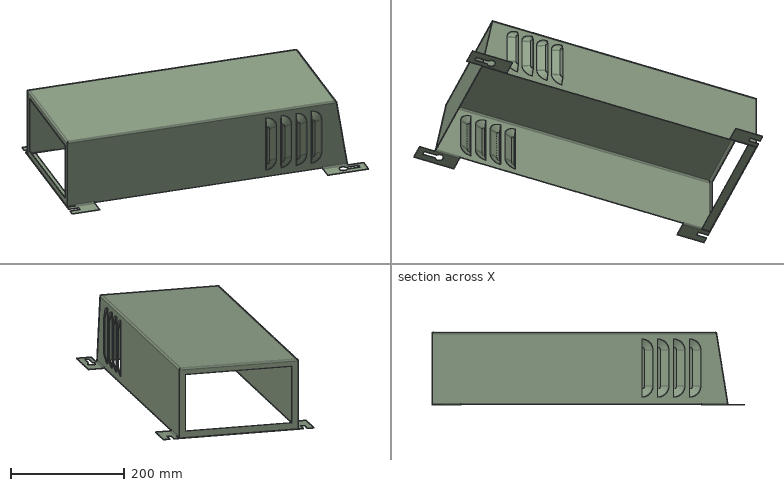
import cadquery as cq
import math

sheet = 1.0
overall_width = 277.0
overall_length = 552.5
overall_height = 128.5

top_inner_bend = 2.0
top_outer_bend = top_inner_bend + sheet
body_width = 219.5
base_length = 523.0
top_length = 503.0
frame_width = 12.0
lip_depth = 16.0

inner_bend = 1.5
outer_bend = inner_bend + sheet
front_tab_length = 51.5
rear_tab_length = 76.0
rear_tab_start_y = overall_length - rear_tab_length
slot_center_x = 122.5
slot_width = 7.0
front_slot_depth = 19.0
keyhole_diameter = 14.5
keyhole_center_y = 510.5
keyhole_slot_end_y = 540.5

louver_count = 4
louver_pitch = 28.0
first_louver_y = 370.5
louver_length = 103.0
louver_center_z = 65.0
louver_height = 5.25
louver_reach = 20.0
crest_reach = 5.25
cavity_reach = 19.0
cavity_crest_reach = 1.95


def housing_block(inset, bottom, edge_radius):
    """Solid within the housing walls, moved inward by the inset, with rounded top edges."""
    run = base_length - top_length
    rise = overall_height - sheet
    rear_inset = inset * math.hypot(run, rise) / rise
    top = overall_height - inset
    half_width = body_width / 2 - inset

    def rear_y(z):
        return base_length - rear_inset - (z - sheet) * run / rise

    side_outline = [(inset, bottom), (rear_y(bottom), bottom), (rear_y(top), top), (inset, top)]
    block = (
        cq.Workplane("YZ", origin=(-half_width, 0, 0))
        .polyline(side_outline)
        .close()
        .extrude(2 * half_width)
    )
    return block.faces(">Z").edges().fillet(edge_radius)


def front_window():
    """Cutter for the front opening, which leaves an even frame around it."""
    width = body_width - 2 * frame_width
    bottom = sheet + frame_width
    height = overall_height - frame_width - bottom
    return cq.Workplane("XZ", origin=(0, sheet, bottom + height / 2)).rect(width, height).extrude(sheet)


def front_lip():
    """Bottom strip of the front frame, folded back under the opening."""
    return cq.Workplane("XY").box(body_width, lip_depth, sheet, centered=(True, False, False))


def louver_form(mouth_y, base_x, height, base_reach, top_reach):
    """Rear half of a tapered slot shape rising on the right from base_x, its flat mouth to the front."""
    taper = math.degrees(math.atan2(base_reach - top_reach, height))
    form_length = louver_length + 2 * (base_reach - louver_reach)
    full_form = (
        cq.Workplane("YZ", origin=(base_x, mouth_y, louver_center_z))
        .slot2D(form_length, 2 * base_reach, 90)
        .extrude(height, taper=taper)
    )
    rear_half = cq.Workplane("XY", origin=(base_x, mouth_y, louver_center_z)).box(
        2 * height, base_reach, form_length, centered=(True, False, True)
    )
    return full_form.intersect(rear_half)


def tab_strip(start_y, length):
    """Right tab plate with the bend that joins it to the side wall."""
    wall_x = body_width / 2
    profile = (
        cq.Workplane("XZ", origin=(0, start_y, 0))
        .moveTo(overall_width / 2, 0)
        .lineTo(wall_x + inner_bend, 0)
        .radiusArc((wall_x - sheet, outer_bend), outer_bend)
        .lineTo(wall_x, outer_bend)
        .radiusArc((wall_x + inner_bend, sheet), -inner_bend)
        .lineTo(overall_width / 2, sheet)
        .close()
    )
    return profile.extrude(-length)


def wall_foot(start_y, length):
    """Cutter for the foot of the right side wall, whose place is taken by a tab bend."""
    return cq.Workplane("XY", origin=(body_width / 2 - sheet, start_y, 0)).box(
        sheet, length, outer_bend, centered=False
    )


def front_tab():
    """Right front tab with a slot open to the front."""
    slot = cq.Workplane("XY").center(slot_center_x, 0).rect(slot_width, 2 * front_slot_depth)
    return tab_strip(0, front_tab_length).cut(slot.extrude(sheet))


def rear_tab():
    """Right rear tab with a keyhole whose slot points to the rear."""
    slot_length = keyhole_slot_end_y - keyhole_center_y
    head = cq.Workplane("XY").center(slot_center_x, keyhole_center_y).circle(keyhole_diameter / 2)
    slot = (
        cq.Workplane("XY")
        .center(slot_center_x, keyhole_center_y + slot_length / 2)
        .rect(slot_width, slot_length)
    )
    bend_relief = cq.Workplane("XY", origin=(0, base_length, 0)).box(
        body_width / 2 + inner_bend, overall_length - base_length, outer_bend, centered=False
    )
    tab = tab_strip(rear_tab_start_y, rear_tab_length).cut(bend_relief)
    return tab.cut(head.extrude(sheet)).cut(slot.extrude(sheet))


def both_sides(shape):
    """The right-hand shape together with its mirror image on the left."""
    return shape.union(shape.mirror("YZ"))


result = housing_block(0, sheet, top_outer_bend)
result = result.cut(housing_block(sheet, 0, top_inner_bend))
result = result.cut(front_window())
result = result.cut(both_sides(wall_foot(0, front_tab_length)))
result = result.cut(both_sides(wall_foot(rear_tab_start_y, rear_tab_length)))
result = result.union(both_sides(front_tab())).union(both_sides(rear_tab()))
result = result.union(front_lip())

for index in range(louver_count):
    mouth_y = first_louver_y + index * louver_pitch
    form = louver_form(mouth_y, body_width / 2, louver_height, louver_reach, crest_reach)
    cavity = louver_form(mouth_y, body_width / 2 - sheet, louver_height, cavity_reach, cavity_crest_reach)
    result = result.union(both_sides(form)).cut(both_sides(cavity))